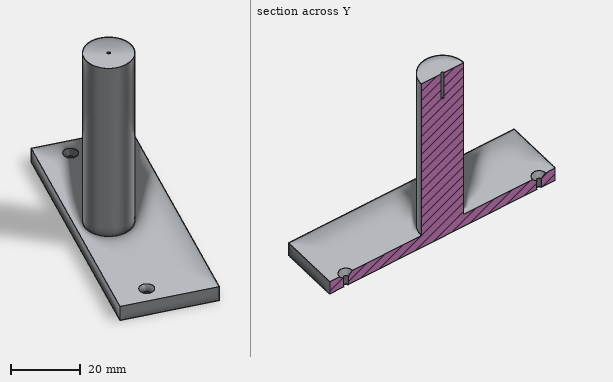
import cadquery as cq

plate_length = 80.0
plate_width = 30.0
plate_thickness = 5.0

total_height = 65.0
post_height = total_height - plate_thickness
post_diameter = 15.0
post_y = -plate_width / 6

pilot_diameter = 1.0
pilot_depth = 10.0

screw_spacing = 68.5
screw_diameter = 1.5
countersink_diameter = 4.6
countersink_angle = 90.0


def make_plate():
    """Plate standing on Z = 0, with a countersunk hole near each end."""
    plate = cq.Workplane("XY").box(plate_length, plate_width, plate_thickness, centered=(True, True, False))
    screw_points = [(side * screw_spacing / 2, post_y) for side in (-1, 1)]
    return (
        plate.faces(">Z")
        .workplane(origin=(0, 0, plate_thickness))
        .pushPoints(screw_points)
        .cskHole(screw_diameter, countersink_diameter, countersink_angle)
    )


def make_post():
    """Round post rising from the top of the plate."""
    return (
        cq.Workplane("XY", origin=(0, post_y, plate_thickness))
        .circle(post_diameter / 2)
        .extrude(post_height)
    )


def make_pilot_hole():
    """Cutter for the blind axial hole in the post."""
    return (
        cq.Workplane("XY", origin=(0, post_y, total_height))
        .circle(pilot_diameter / 2)
        .extrude(-pilot_depth)
    )


result = make_plate().union(make_post()).cut(make_pilot_hole())